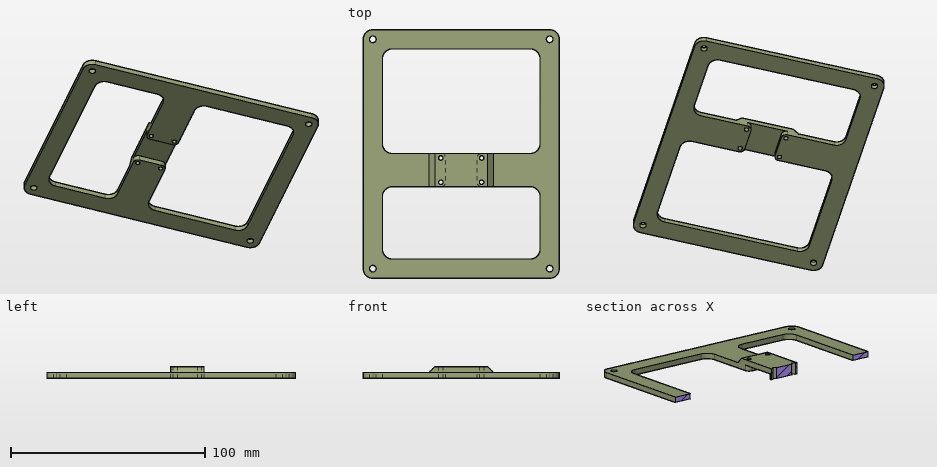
import cadquery as cq

frame_width = 101.0
frame_length = 128.0
frame_thickness = 3.0
border = 10.0
corner_radius = 5.0

corner_hole_diameter = 3.3
corner_hole_inset = 5.0

lower_window_length = 37.1
crossbar_width = 17.2
window_width = frame_width - 2 * border
upper_window_length = frame_length - 2 * border - lower_window_length - crossbar_width
crossbar_front_y = -frame_length / 2 + border + lower_window_length
crossbar_back_y = crossbar_front_y + crossbar_width
crossbar_y = (crossbar_front_y + crossbar_back_y) / 2

gap_width = 16.2
gap_corner_radius = 2.5

pad_height = 3.0
pad_top_length = 27.2
pad_base_length = pad_top_length + 2 * pad_height
pad_hole_diameter = 2.2
pad_hole_spacing_x = 21.0
pad_hole_spacing_y = 12.5


def rounded_plate(width, length, center_y):
    """Plate of frame thickness, resting on Z = 0, with rounded vertical corners."""
    plate = cq.Workplane("XY").center(0, center_y).rect(width, length).extrude(frame_thickness)
    return plate.edges("|Z").fillet(corner_radius)


def hole_pattern(spacing_x, spacing_y, center_y, diameter):
    """Cutters for one through hole at each corner of a rectangle."""
    return (
        cq.Workplane("XY")
        .center(0, center_y)
        .rect(spacing_x, spacing_y, forConstruction=True)
        .vertices()
        .circle(diameter / 2)
        .extrude(frame_thickness + pad_height)
    )


def make_frame():
    """Frame with two windows separated by an unbroken crossbar."""
    lower_window_y = crossbar_front_y - lower_window_length / 2
    upper_window_y = crossbar_back_y + upper_window_length / 2
    frame = rounded_plate(frame_width, frame_length, 0)
    frame = frame.cut(rounded_plate(window_width, lower_window_length, lower_window_y))
    return frame.cut(rounded_plate(window_width, upper_window_length, upper_window_y))


def split_crossbar(frame):
    """Open the gap in the crossbar and round the four corners of its stub ends."""
    gap = (
        cq.Workplane("XY")
        .center(0, crossbar_y)
        .rect(gap_width, crossbar_width)
        .extrude(frame_thickness)
    )
    reach_x = pad_top_length / 2
    stub_ends = cq.selectors.BoxSelector(
        (-reach_x, crossbar_y - crossbar_width, 0),
        (reach_x, crossbar_y + crossbar_width, frame_thickness),
    )
    return frame.cut(gap).edges("|Z").edges(stub_ends).fillet(gap_corner_radius)


def make_pad():
    """Trapezoidal bridge sitting on the crossbar stubs."""
    top_z = frame_thickness + pad_height
    return (
        cq.Workplane("XZ", origin=(0, crossbar_back_y, 0))
        .moveTo(-pad_base_length / 2, frame_thickness)
        .lineTo(pad_base_length / 2, frame_thickness)
        .lineTo(pad_top_length / 2, top_z)
        .lineTo(-pad_top_length / 2, top_z)
        .close()
        .extrude(crossbar_width)
    )


corner_holes = hole_pattern(
    frame_width - 2 * corner_hole_inset,
    frame_length - 2 * corner_hole_inset,
    0,
    corner_hole_diameter,
)
pad_holes = hole_pattern(pad_hole_spacing_x, pad_hole_spacing_y, crossbar_y, pad_hole_diameter)

body = split_crossbar(make_frame()).union(make_pad())
result = body.cut(corner_holes).cut(pad_holes)